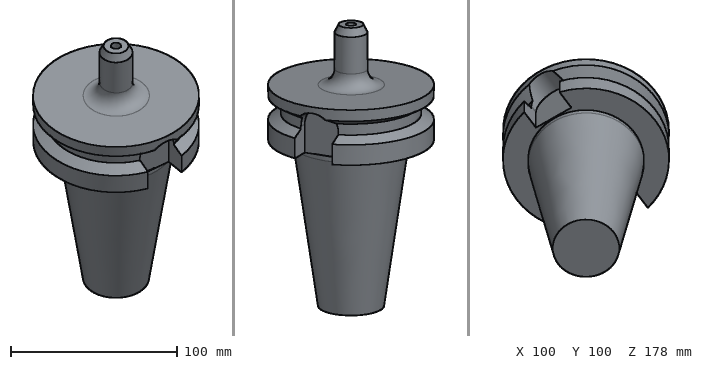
import cadquery as cq

total_height = 178.0
gauge_height = 101.8
flange_bottom = 105.0
lower_rim_top = 117.8
groove_bottom = 121.5
groove_top = 128.5
upper_rim_bottom = 132.8
flange_top = 139.9

rim_radius = 50.0
groove_radius = 42.4
gauge_radius = 34.9
taper_ratio = 7 / 48
taper_end_radius = gauge_radius - taper_ratio * gauge_height

stem_radius = 10.0
stem_tip_radius = 7.5
stem_tip_height = 5.0
stem_fillet = 10.0
bore_diameter = 6.0

slot_width = 25.5
slot_top = 136.0
slot_floor = 35.5


def turned_body():
    """Taper, grooved flange and stem as one revolved profile (radius, height)."""
    fillet_inset = stem_fillet * 0.5 ** 0.5
    fillet_centre_radius = stem_radius + stem_fillet
    fillet_centre_height = flange_top + stem_fillet
    profile = (
        cq.Workplane("XZ")
        .lineTo(taper_end_radius, 0)
        .lineTo(gauge_radius, gauge_height)
        .lineTo(gauge_radius, flange_bottom)
        .lineTo(rim_radius, flange_bottom)
        .lineTo(rim_radius, lower_rim_top)
        .lineTo(groove_radius, groove_bottom)
        .lineTo(groove_radius, groove_top)
        .lineTo(rim_radius, upper_rim_bottom)
        .lineTo(rim_radius, flange_top)
        .lineTo(fillet_centre_radius, flange_top)
        .threePointArc(
            (fillet_centre_radius - fillet_inset, fillet_centre_height - fillet_inset),
            (stem_radius, fillet_centre_height),
        )
        .lineTo(stem_radius, total_height - stem_tip_height)
        .lineTo(stem_tip_radius, total_height)
        .lineTo(0, total_height)
        .close()
    )
    return profile.revolve(360, (0, 0), (0, 1))


def drive_slot(side):
    """Round-topped cutter open at the flange bottom; side is -1 or +1 along X."""
    half_width = slot_width / 2
    arc_start = slot_top - half_width
    depth = rim_radius - slot_floor + 1.8
    return (
        cq.Workplane("YZ", origin=(side * slot_floor, 0, 0))
        .moveTo(-half_width, flange_bottom)
        .lineTo(half_width, flange_bottom)
        .lineTo(half_width, arc_start)
        .threePointArc((0, slot_top), (-half_width, arc_start))
        .close()
        .extrude(side * depth)
    )


body = turned_body()
for side in (-1, 1):
    body = body.cut(drive_slot(side))

bore = cq.Workplane("XY", origin=(0, 0, flange_top)).circle(bore_diameter / 2).extrude(total_height - flange_top)
result = body.cut(bore)